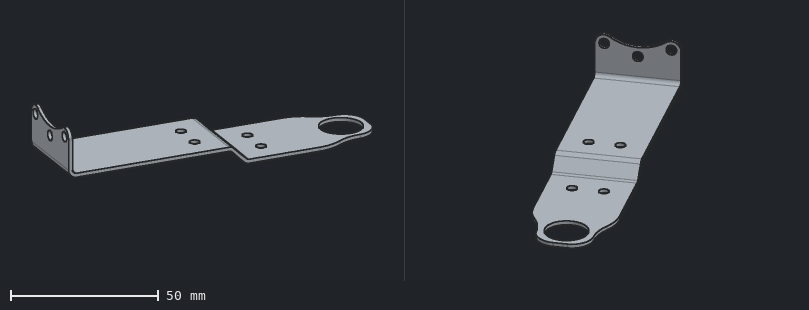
import cadquery as cq
import math

length = 118.5
width = 30.0
height = 23.0

thickness = 1.5
inner_bend = thickness
outer_bend = inner_bend + thickness
step_height = 5.6
lower_plate_length = 51.1
step_angle = math.radians(45)

eye_hole_diameter = 15.0
eye_hole_from_end = 10.0
neck_half_width = 10.0
eye_corner_radius = 7.5
shoulder_from_end = 24.9

small_hole_diameter = 3.5
plate_hole_spacing = 11.0
plate_hole_rows_from_end = (42.3, 67.1)

ear_radius = 3.3
scoop_radius = 17.5
middle_hole_height = 16.0

half_width = width / 2
ear_x = half_width - ear_radius
ear_z = height - ear_radius


def bent_strip():
    """Full-width strip with a sloped step and an upright flange."""
    sin_a = math.sin(step_angle)
    cos_a = math.cos(step_angle)
    bend_rise = (inner_bend + outer_bend) * (1 - cos_a)
    slope_rise = step_height - bend_rise
    slope_run = slope_rise / math.tan(step_angle)
    step_start = length - lower_plate_length
    step_end = step_start - slope_run - (inner_bend + outer_bend) * sin_a
    lower_centre = (step_start, thickness + inner_bend)
    upper_centre = (step_end, step_height - inner_bend)
    flange_centre = (outer_bend, step_height + outer_bend)

    def on_bend(centre, radius, angle):
        return (centre[0] + radius * math.cos(angle), centre[1] + radius * math.sin(angle))

    down = -math.pi / 2
    up = math.pi / 2
    flange_middle = math.radians(225)
    half = step_angle / 2
    return (
        cq.Workplane("YZ", origin=(-half_width, 0, 0))
        .moveTo(length, 0)
        .lineTo(step_start, 0)
        .threePointArc(
            on_bend(lower_centre, outer_bend, down - half),
            on_bend(lower_centre, outer_bend, down - step_angle),
        )
        .lineTo(*on_bend(upper_centre, inner_bend, up - step_angle))
        .threePointArc(
            on_bend(upper_centre, inner_bend, up - half),
            (step_end, step_height),
        )
        .lineTo(outer_bend, step_height)
        .threePointArc(
            on_bend(flange_centre, outer_bend, flange_middle),
            (0, flange_centre[1]),
        )
        .lineTo(0, height)
        .lineTo(thickness, height)
        .lineTo(thickness, flange_centre[1])
        .threePointArc(
            on_bend(flange_centre, inner_bend, flange_middle),
            (outer_bend, step_height + thickness),
        )
        .lineTo(step_end, step_height + thickness)
        .threePointArc(
            on_bend(upper_centre, outer_bend, up - half),
            on_bend(upper_centre, outer_bend, up - step_angle),
        )
        .lineTo(*on_bend(lower_centre, inner_bend, down - step_angle))
        .threePointArc(
            on_bend(lower_centre, inner_bend, down - half),
            (step_start, thickness),
        )
        .lineTo(length, thickness)
        .close()
        .extrude(width)
    )


def plan_outline():
    """Solid with the plan outline: a rounded eye joined to the plate by S-curves."""
    neck_y = length - eye_corner_radius
    shoulder_y = length - shoulder_from_end
    middle_x = (neck_half_width + half_width) / 2
    middle_y = (neck_y + shoulder_y) / 2
    flat_x = neck_half_width - eye_corner_radius
    return (
        cq.Workplane("XY")
        .moveTo(-half_width, 0)
        .lineTo(half_width, 0)
        .lineTo(half_width, shoulder_y)
        .tangentArcPoint((middle_x, middle_y), relative=False)
        .tangentArcPoint((neck_half_width, neck_y), relative=False)
        .tangentArcPoint((flat_x, length), relative=False)
        .lineTo(-flat_x, length)
        .tangentArcPoint((-neck_half_width, neck_y), relative=False)
        .tangentArcPoint((-middle_x, middle_y), relative=False)
        .tangentArcPoint((-half_width, shoulder_y), relative=False)
        .close()
        .extrude(height)
    )


def flange_outline():
    """Solid with the flange outline: two round ears with a tangent scoop between them."""
    reach = scoop_radius + ear_radius
    scoop_z = ear_z + math.sqrt(reach**2 - ear_x**2)
    joint_x = ear_x * scoop_radius / reach
    joint_z = ear_z + (scoop_z - ear_z) * ear_radius / reach
    return (
        cq.Workplane("XZ")
        .moveTo(-half_width, 0)
        .lineTo(half_width, 0)
        .lineTo(half_width, ear_z)
        .tangentArcPoint((ear_x, height), relative=False)
        .tangentArcPoint((joint_x, joint_z), relative=False)
        .threePointArc((0, scoop_z - scoop_radius), (-joint_x, joint_z))
        .tangentArcPoint((-ear_x, height), relative=False)
        .tangentArcPoint((-half_width, ear_z), relative=False)
        .close()
        .extrude(-length)
    )


def plate_holes():
    """Cutters for the eye and for the two pairs of plate holes."""
    hole_x = plate_hole_spacing / 2
    points = [(x, length - row) for row in plate_hole_rows_from_end for x in (-hole_x, hole_x)]
    small = cq.Workplane("XY").pushPoints(points).circle(small_hole_diameter / 2).extrude(height)
    eye = (
        cq.Workplane("XY")
        .center(0, length - eye_hole_from_end)
        .circle(eye_hole_diameter / 2)
        .extrude(height)
    )
    return small.union(eye)


def flange_holes():
    """Cutters for a hole in each ear and one below the scoop."""
    points = [(-ear_x, ear_z), (ear_x, ear_z), (0, middle_hole_height)]
    return (
        cq.Workplane("XZ")
        .pushPoints(points)
        .circle(small_hole_diameter / 2)
        .extrude(-outer_bend)
    )


result = (
    bent_strip()
    .intersect(plan_outline())
    .intersect(flange_outline())
    .cut(plate_holes())
    .cut(flange_holes())
)